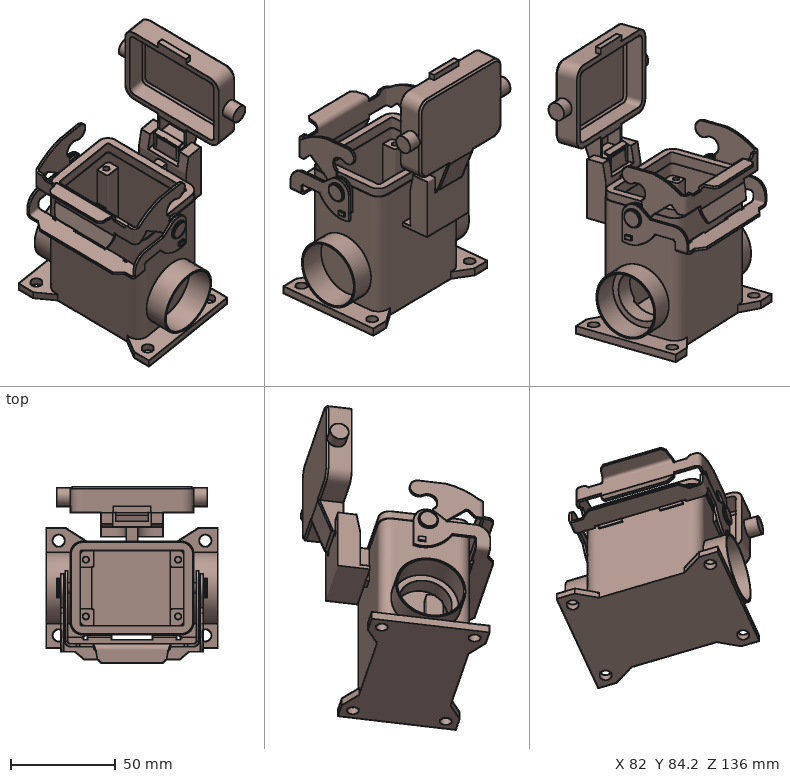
import cadquery as cq
import math


BODY_LENGTH = 58.9
BODY_WIDTH = 44.6
BODY_CORNER = 6.0
BODY_HEIGHT = 73.0
RIM_HEIGHT = 4.4
RIM_INSET = 0.4
CAVITY_LENGTH = 49.6
CAVITY_WIDTH = 36.0
CAVITY_CORNER = 1.0
CAVITY_STEP_Z = 67.3
CAVITY_STEP = 0.1
CAVITY_LOWER_CORNER = 2.0
FLOOR = 4.0
POST_X = 6.6
POST_Y = 8.0
POST_TOP = 61.0
POST_EDGE = 1.0
SCREW_X = 22.0
SCREW_Y = 13.55
SCREW_HOLE = 3.0
SCREW_DEPTH = 12.0

PLATE_LENGTH = 82.0
PLATE_WIDTH = 57.4
PLATE_THICK = 4.0
PLATE_END = 9.3
NOTCH_X = 21.7
MOUNT_X = 35.0
MOUNT_Y = 22.6
MOUNT_HOLE = 5.7

ENTRY_Z = 22.3
ENTRY_RADIUS = 17.0
ENTRY_BORE = 16.2
ENTRY_HOLE = 13.0
ENTRY_SHOULDER = 28.0
ENTRY_LEDGE_TOP = ENTRY_Z + ENTRY_RADIUS
OPEN_LEDGE_X = 19.2
BLIND_LEDGE_X = CAVITY_LENGTH / 2 - POST_X

LID_LENGTH = 58.8
LID_BOTTOM = 89.3
LID_TOP = 133.0
LID_FRONT = 36.0
LID_BACK = 48.4
LID_CORNER = 6.0
LID_BACK_EDGE = 1.0
LID_RIM = 3.0
LID_POCKET_FLOOR = 46.0
LID_POCKET_CORNER = 2.8
LID_POCKET_EDGE = 1.1
TOTAL_HEIGHT = 136.0
TAB_LENGTH = 17.8
TAB_THICK = 3.0
LID_PIN_RADIUS = 4.5
LID_PIN_REACH = 36.0
LID_PIN_Y = 43.4
LID_PIN_Z = 111.25

ARM_BOTTOM = 72.2
ARM_HEEL_Y = 41.8
ARM_WALL = 1.1
ARM_POCKET_BACK = 43.3
ARM_POCKET_TOP = 87.9
ARM_POCKET_FLOOR = 77.9
ARM_EDGE = 0.7
BRACKET_EDGE = 0.5
BRACKET_LENGTH = 29.7
BRACKET_BACK = 40.0
BRACKET_FRONT = 29.0
BRACKET_TOP = 79.0
BRACKET_TOP_FRONT = 30.8
BRACKET_TAPER_Z = 69.0
BRACKET_BOTTOM = 47.8
SLOT_LENGTH = 18.6
SLOT_FLOOR = 70.3
FOOT_FRONT = 24.4
FOOT_THICK = 2.0
WEB_THICK = 5.6
WEB_TOP = 68.5
WEB_FILLET = 8.0
SPRING_TIP = 81.3
SPRING_REAR = 34.8
SPRING_THICK = 0.8
SPRING_FRONT = 31.8

SHEET = 1.3
PIVOT_Z = 66.1
PIVOT_PIN = 2.5
HEAD_RADIUS = 4.75
HEAD_THICK = 1.2
HEAD_EDGE = 0.5
PIVOT_REACH = 36.0

HOOK_HALF = 31.95
HOOK_TOP = 90.8
HOOK_TIP_RADIUS = 4.3
HOOK_TIP_Y = 4.0
CATCH_Y = -0.6
CATCH_Z = 79.0
HOOK_HUB_RADIUS = 6.4
HOOK_TAIL_BOTTOM = 55.5
STRIP_FRONT = -28.0
STRIP_BEND = 2.65
STRIP_TOP = 83.3
STRIP_BOTTOM = 73.4
STRIP_DIP = 81.3
HANDLE_HALF = 18.5
HANDLE_TIP = -35.83
HANDLE_TOP = 84.7
HANDLE_BEND = 2.9
FLAP_TOP = 71.6
FLAP_TIP_Y = -30.9
FLAP_TIP_Z = 64.0
FLAP_TIP_HALF = 16.0

BAIL_HALF = 34.0
BAIL_HUB_RADIUS = 6.8
BAIL_TAIL_BOTTOM = 51.3
BAIL_ARM_TOP = 67.3
BAIL_ARM_BOTTOM = 60.3
BAIL_ELBOW = 7.7
BAIL_FRONT = -30.5
BAIL_REAR = -23.6
BAIL_BOTTOM = 53.8
BAIL_BEND = 2.5
BAIL_LIP = -34.2
DIMPLE_HEIGHT = 1.0
DIMPLE_Y = (1.1, 4.6)
DIMPLE_Z = (53.9, 56.0)
STOP_INNER_X = 9.7
STOP_OUTER_X = 21.3
STOP_BOTTOM = 52.6
RELIEF_OUTER_X = 23.1
RELIEF_Y = -24.6


def box(x_range, y_range, z_range):
    """Box spanning three coordinate ranges."""
    size = [hi - lo for lo, hi in (x_range, y_range, z_range)]
    corner = (x_range[0], y_range[0], z_range[0])
    return cq.Workplane("XY").box(*size, centered=False).translate(corner)


def profile_across(points, half_length):
    """Outline of (y, z) points extruded symmetrically along X."""
    return cq.Workplane("YZ").polyline(points).close().extrude(half_length, both=True)


def cylinder_x(radius, x_start, x_end, y, z):
    """Cylinder along X."""
    return (
        cq.Workplane("YZ", origin=(x_start, y, z))
        .circle(radius)
        .extrude(x_end - x_start)
    )


def on_circle(centre, radius, degrees):
    """Point on a circle, by angle."""
    angle = math.radians(degrees)
    return (centre[0] + radius * math.cos(angle), centre[1] + radius * math.sin(angle))


def both_sides(solid):
    """A solid together with its mirror image across X = 0."""
    return solid.union(solid.mirror("YZ"))


def mounting_plate():
    half_x = PLATE_LENGTH / 2
    half_y = PLATE_WIDTH / 2
    taper_x = half_x - PLATE_END
    body_y = BODY_WIDTH / 2
    plate = (
        cq.Workplane("XY")
        .polyline([
            (half_x, -half_y), (half_x, half_y), (taper_x, half_y), (NOTCH_X, body_y),
            (-NOTCH_X, body_y), (-taper_x, half_y), (-half_x, half_y), (-half_x, -half_y),
            (-taper_x, -half_y), (-NOTCH_X, -body_y), (NOTCH_X, -body_y), (taper_x, -half_y),
        ])
        .close()
        .extrude(PLATE_THICK)
    )
    return (
        plate.faces(">Z").workplane(origin=(0, 0, 0))
        .rect(2 * MOUNT_X, 2 * MOUNT_Y, forConstruction=True)
        .vertices()
        .hole(MOUNT_HOLE)
    )


def screw_posts():
    posts = cq.Workplane("XY")
    for side_x in (-1, 1):
        for side_y in (-1, 1):
            centre_x = side_x * (CAVITY_LENGTH - POST_X) / 2
            centre_y = side_y * (CAVITY_WIDTH - POST_Y) / 2
            inner_edge = ("<X" if side_x > 0 else ">X") + " and " + ("<Y" if side_y > 0 else ">Y")
            post = (
                cq.Workplane("XY", origin=(centre_x, centre_y, FLOOR))
                .rect(POST_X, POST_Y)
                .extrude(POST_TOP - FLOOR)
                .edges("|Z").edges(inner_edge)
                .fillet(POST_EDGE)
            )
            screw_hole = (
                cq.Workplane("XY", origin=(side_x * SCREW_X, side_y * SCREW_Y, POST_TOP))
                .circle(SCREW_HOLE / 2)
                .extrude(-SCREW_DEPTH)
            )
            posts = posts.union(post.cut(screw_hole))
    return posts


def housing():
    body = (
        cq.Workplane("XY")
        .rect(BODY_LENGTH, BODY_WIDTH)
        .extrude(BODY_HEIGHT - RIM_HEIGHT)
        .edges("|Z")
        .fillet(BODY_CORNER)
    )
    rim = (
        cq.Workplane("XY", origin=(0, 0, BODY_HEIGHT - RIM_HEIGHT))
        .rect(BODY_LENGTH - 2 * RIM_INSET, BODY_WIDTH - 2 * RIM_INSET)
        .extrude(RIM_HEIGHT)
        .edges("|Z")
        .fillet(BODY_CORNER - RIM_INSET)
    )
    upper_cavity = (
        cq.Workplane("XY", origin=(0, 0, CAVITY_STEP_Z))
        .rect(CAVITY_LENGTH, CAVITY_WIDTH)
        .extrude(BODY_HEIGHT - CAVITY_STEP_Z)
        .edges("|Z")
        .fillet(CAVITY_CORNER)
    )
    lower_cavity = (
        cq.Workplane("XY", origin=(0, 0, FLOOR))
        .rect(CAVITY_LENGTH - 2 * CAVITY_STEP, CAVITY_WIDTH - 2 * CAVITY_STEP)
        .extrude(CAVITY_STEP_Z - FLOOR)
        .edges("|Z")
        .fillet(CAVITY_LOWER_CORNER)
    )
    cavity = upper_cavity.union(lower_cavity)
    plate_end = PLATE_LENGTH / 2
    wall_x = BODY_LENGTH / 2 - RIM_INSET
    collar = cylinder_x(ENTRY_RADIUS, wall_x, plate_end, 0, ENTRY_Z)
    solid = mounting_plate().union(body).union(rim).union(both_sides(collar)).cut(cavity)

    cavity_x = CAVITY_LENGTH / 2
    ledge_y = (-CAVITY_WIDTH / 2, CAVITY_WIDTH / 2)
    ledge_z = (FLOOR, ENTRY_LEDGE_TOP)
    solid = solid.union(box((-cavity_x, -OPEN_LEDGE_X), ledge_y, ledge_z))
    solid = solid.union(box((BLIND_LEDGE_X, cavity_x), ledge_y, ledge_z))
    solid = solid.union(screw_posts())

    bore = cylinder_x(ENTRY_BORE, ENTRY_SHOULDER, plate_end, 0, ENTRY_Z)
    open_hole = cylinder_x(ENTRY_HOLE, -plate_end, 0, 0, ENTRY_Z)
    return solid.cut(both_sides(bore)).cut(open_hole)


def lid_slab(length, z_range, y_range, corner):
    """Upright plate with rounded corners, lying in the XZ plane."""
    slab = box((-length / 2, length / 2), y_range, z_range)
    return slab.edges("|Y").fillet(corner)


def lid():
    shell = lid_slab(LID_LENGTH, (LID_BOTTOM, LID_TOP), (LID_FRONT, LID_BACK), LID_CORNER)
    shell = shell.faces(">Y").chamfer(LID_BACK_EDGE)
    pocket = lid_slab(
        LID_LENGTH - 2 * LID_RIM,
        (LID_BOTTOM + LID_RIM, LID_TOP - LID_RIM),
        (LID_FRONT, LID_POCKET_FLOOR),
        LID_POCKET_CORNER,
    )
    pocket = pocket.faces(">Y").chamfer(LID_POCKET_EDGE)
    pin = cylinder_x(LID_PIN_RADIUS, LID_LENGTH / 2 - LID_RIM / 2, LID_PIN_REACH, LID_PIN_Y, LID_PIN_Z)
    tab = box(
        (-TAB_LENGTH / 2, TAB_LENGTH / 2),
        (LID_FRONT, LID_FRONT + TAB_THICK),
        (LID_TOP - LID_RIM, TOTAL_HEIGHT),
    )
    return shell.union(tab).cut(pocket).union(both_sides(pin))


def hinge_arm():
    """Tapered arm below the lid, with a recess in its front and a sprung lip."""
    pocket_half = TAB_LENGTH / 2 - ARM_WALL
    arm = profile_across(
        [
            (LID_FRONT, LID_BOTTOM + LID_RIM), (LID_BACK - LID_BACK_EDGE, LID_BOTTOM + LID_RIM),
            (LID_BACK, LID_BOTTOM + LID_BACK_EDGE), (LID_BACK, LID_BOTTOM),
            (ARM_HEEL_Y, ARM_BOTTOM), (LID_FRONT, ARM_BOTTOM),
        ],
        TAB_LENGTH / 2,
    )
    sloped_face = cq.selectors.BoxSelector(
        (-LID_LENGTH, ARM_HEEL_Y - ARM_EDGE, ARM_BOTTOM - ARM_EDGE),
        (LID_LENGTH, LID_BACK + ARM_EDGE, LID_BOTTOM),
    )
    arm = arm.edges(sloped_face).edges("not |X").edges("not |Y").chamfer(ARM_EDGE)
    recess = box(
        (-pocket_half, pocket_half),
        (LID_FRONT, ARM_POCKET_BACK),
        (ARM_POCKET_FLOOR, ARM_POCKET_TOP),
    )
    knuckle = box(
        (-pocket_half, pocket_half),
        (SPRING_FRONT, BRACKET_BACK),
        (SLOT_FLOOR, ARM_POCKET_FLOOR),
    )
    lip_drop = 1.0
    lip = profile_across(
        [
            (SPRING_REAR, SPRING_TIP), (SPRING_FRONT, SPRING_TIP - lip_drop),
            (SPRING_FRONT, ARM_POCKET_FLOOR), (SPRING_FRONT + SPRING_THICK, ARM_POCKET_FLOOR),
            (SPRING_FRONT + SPRING_THICK, SPRING_TIP - lip_drop - SPRING_THICK / 2),
            (SPRING_REAR, SPRING_TIP - SPRING_THICK),
        ],
        pocket_half,
    )
    window_half = 6.2
    window_depth = 0.5
    window_bottom = 72.0
    window_top = 79.3
    window = profile_across(
        [
            (SPRING_FRONT, window_bottom), (SPRING_FRONT, window_top),
            (SPRING_FRONT + window_depth, window_top),
        ],
        window_half,
    )
    return arm.cut(recess).union(knuckle).union(lip).cut(window)


def hinge_bracket():
    half = BRACKET_LENGTH / 2
    foot_top = BRACKET_BOTTOM + FOOT_THICK
    block = profile_across(
        [
            (BRACKET_BACK, BRACKET_BOTTOM), (BRACKET_BACK, BRACKET_TOP),
            (BRACKET_TOP_FRONT, BRACKET_TOP), (BRACKET_FRONT, BRACKET_TAPER_Z),
            (BRACKET_FRONT, foot_top), (FOOT_FRONT, foot_top), (FOOT_FRONT, BRACKET_BOTTOM),
        ],
        half,
    )
    slot = box(
        (-SLOT_LENGTH / 2, SLOT_LENGTH / 2),
        (BRACKET_FRONT, BRACKET_BACK),
        (SLOT_FLOOR, BRACKET_TOP),
    )
    web = box(
        (-WEB_THICK / 2, WEB_THICK / 2),
        (BODY_WIDTH / 2 - RIM_INSET, BRACKET_FRONT),
        (foot_top, WEB_TOP),
    )
    web_x = WEB_THICK / 2
    centre = (web_x + WEB_FILLET, foot_top + WEB_FILLET)
    gusset = (
        cq.Workplane("XZ", origin=(0, BRACKET_FRONT, 0))
        .moveTo(web_x, foot_top)
        .lineTo(web_x + WEB_FILLET, foot_top)
        .threePointArc(on_circle(centre, WEB_FILLET, 225), (web_x, foot_top + WEB_FILLET))
        .close()
        .extrude(BRACKET_FRONT - FOOT_FRONT)
    )
    block = block.faces(">Y").edges("|X").fillet(BRACKET_EDGE)
    return block.cut(slot).union(web).union(both_sides(gusset))


def pivots():
    shaft = cylinder_x(PIVOT_PIN, BODY_LENGTH / 2 - RIM_INSET, PIVOT_REACH, 0, PIVOT_Z)
    head = cylinder_x(HEAD_RADIUS, PIVOT_REACH - HEAD_THICK, PIVOT_REACH, 0, PIVOT_Z)
    head = head.faces(">X").chamfer(HEAD_EDGE)
    return both_sides(shaft.union(head))


def hook_side():
    """Side outline of the hook lever, extruded over its full span."""
    tip_centre = (HOOK_TIP_Y, HOOK_TOP - HOOK_TIP_RADIUS)
    catch = (CATCH_Y, CATCH_Z)
    crest_start = (-25.4, 83.7)
    crest_middle = (-17.9, 88.2)
    crest_end = (-9.2, HOOK_TOP)
    neck_rear = (-3.1, PIVOT_Z)
    neck_front = (-7.0, PIVOT_Z)
    neck_top = (-9.5, 69.1)
    gap_top = 77.0
    gap_rear = -19.1
    gap_front = -20.2
    gap_foot = -23.7
    strip_rear = STRIP_FRONT + SHEET
    hook = (
        cq.Workplane("YZ")
        .moveTo(*crest_end)
        .lineTo(HOOK_TIP_Y, HOOK_TOP)
        .threePointArc(
            on_circle(tip_centre, HOOK_TIP_RADIUS, 0),
            on_circle(tip_centre, HOOK_TIP_RADIUS, 250),
        )
        .lineTo(*on_circle(catch, LID_PIN_RADIUS, 68))
        .threePointArc(
            on_circle(catch, LID_PIN_RADIUS, 150),
            on_circle(catch, LID_PIN_RADIUS, 237),
        )
        .lineTo(*neck_rear)
        .lineTo(*neck_front)
        .lineTo(*neck_top)
        .lineTo(gap_rear, gap_top)
        .lineTo(gap_front, gap_top)
        .lineTo(gap_foot, STRIP_BOTTOM)
        .lineTo(strip_rear, STRIP_BOTTOM)
        .lineTo(strip_rear, FLAP_TOP)
        .lineTo(STRIP_FRONT, FLAP_TOP)
        .lineTo(STRIP_FRONT, STRIP_TOP)
        .lineTo(*crest_start)
        .threePointArc(crest_middle, crest_end)
        .close()
        .extrude(HOOK_HALF, both=True)
    )
    hub = cylinder_x(HOOK_HUB_RADIUS, -HOOK_HALF, HOOK_HALF, 0, PIVOT_Z)
    tail = box(
        (-HOOK_HALF, HOOK_HALF),
        (-HOOK_HUB_RADIUS, HOOK_HUB_RADIUS),
        (HOOK_TAIL_BOTTOM, PIVOT_Z),
    )
    return hook.union(hub).union(tail)


def bent_sheet(plane, half_span, open_end, closed_end, bend):
    """U-shaped sheet section, closed towards the lower end of its second axis."""
    def rounded(half, low, radius):
        return (
            cq.Workplane(plane)
            .moveTo(-half, open_end)
            .lineTo(-half, low + radius)
            .radiusArc((-half + radius, low), -radius)
            .lineTo(half - radius, low)
            .radiusArc((half, low + radius), -radius)
            .lineTo(half, open_end)
            .close()
            .extrude(2 * HOOK_TOP, both=True)
        )
    return rounded(half_span, closed_end, bend).cut(
        rounded(half_span - SHEET, closed_end + SHEET, bend - SHEET)
    )


def hook_lever():
    sheet = bent_sheet("XY", HOOK_HALF, HOOK_HALF, STRIP_FRONT, STRIP_BEND)
    lever = sheet.intersect(hook_side())

    bend_start = HANDLE_TOP - HANDLE_BEND
    dip_start = 26.7
    dip_end = 25.0
    dip = (
        cq.Workplane("XZ", origin=(0, STRIP_FRONT + STRIP_BEND, 0))
        .polyline([
            (-dip_start, STRIP_TOP), (-dip_end, STRIP_DIP),
            (-HANDLE_HALF, STRIP_DIP), (-HANDLE_HALF, bend_start),
            (HANDLE_HALF, bend_start), (HANDLE_HALF, STRIP_DIP),
            (dip_end, STRIP_DIP), (dip_start, STRIP_TOP),
            (dip_start, HOOK_TOP), (-dip_start, HOOK_TOP),
        ])
        .close()
        .extrude(STRIP_BEND)
    )
    strip_edge = box(
        (HANDLE_HALF, HOOK_HALF),
        (STRIP_FRONT, STRIP_FRONT + STRIP_BEND),
        (FLAP_TOP, STRIP_BOTTOM),
    )
    return lever.cut(dip).cut(both_sides(strip_edge)).union(handle()).union(flap())


def handle():
    """Finger plate bent forward from the top of the hook lever's front strip."""
    rear = STRIP_FRONT + SHEET
    bend_start = HANDLE_TOP - HANDLE_BEND
    centre = (rear - HANDLE_BEND, bend_start)
    inner_radius = HANDLE_BEND - SHEET
    section = (
        cq.Workplane("YZ")
        .moveTo(rear, bend_start)
        .threePointArc(on_circle(centre, HANDLE_BEND, 45), (centre[0], HANDLE_TOP))
        .lineTo(HANDLE_TIP, HANDLE_TOP)
        .lineTo(HANDLE_TIP, HANDLE_TOP - SHEET)
        .lineTo(centre[0], HANDLE_TOP - SHEET)
        .threePointArc(on_circle(centre, inner_radius, 45), (STRIP_FRONT, bend_start))
        .close()
        .extrude(HANDLE_HALF, both=True)
    )
    neck_half = 16.6
    neck_y = -34.0
    waist_half = 17.3
    waist_y = -30.0
    tip_half = 14.7
    outline = (
        cq.Workplane("XY")
        .moveTo(-HANDLE_HALF, rear)
        .threePointArc((-waist_half, waist_y), (-neck_half, neck_y))
        .lineTo(-tip_half, HANDLE_TIP)
        .lineTo(tip_half, HANDLE_TIP)
        .lineTo(neck_half, neck_y)
        .threePointArc((waist_half, waist_y), (HANDLE_HALF, rear))
        .close()
        .extrude(HOOK_TOP)
    )
    return section.intersect(outline)


def flap():
    """Plate sloping forward and down from the lower edge of the front strip."""
    rear = STRIP_FRONT + SHEET
    section = profile_across(
        [
            (STRIP_FRONT, FLAP_TOP), (rear, FLAP_TOP),
            (FLAP_TIP_Y + SHEET, FLAP_TIP_Z), (FLAP_TIP_Y, FLAP_TIP_Z),
        ],
        HANDLE_HALF,
    )
    shoulder_half = 18.0
    shoulder_z = 68.4
    outline = (
        cq.Workplane("XZ", origin=(0, rear, 0))
        .polyline([
            (-HANDLE_HALF, FLAP_TOP), (-shoulder_half, shoulder_z), (-FLAP_TIP_HALF, FLAP_TIP_Z),
            (FLAP_TIP_HALF, FLAP_TIP_Z), (shoulder_half, shoulder_z), (HANDLE_HALF, FLAP_TOP),
        ])
        .close()
        .extrude(rear - HANDLE_TIP)
    )
    return section.intersect(outline)


def bail_arm():
    """One flat side arm of the bail lever, on the +X side."""
    hub = (0, PIVOT_Z)
    elbow = (BAIL_FRONT + BAIL_ELBOW, BAIL_ARM_TOP - BAIL_ELBOW)
    elbow_relief = 1.0
    tail_corner = (BAIL_HUB_RADIUS, 51.9)
    tail_low = (1.5, BAIL_TAIL_BOTTOM)
    tail_front = (-3.8, 52.8)
    throat_middle = (-8.8, 56.3)
    throat_top = (-12.0, BAIL_ARM_BOTTOM)
    shoulder = (-9.5, BAIL_ARM_TOP)
    arm_end = BAIL_BOTTOM + BAIL_BEND
    arm = (
        cq.Workplane("YZ", origin=(BAIL_HALF - SHEET, 0, 0))
        .moveTo(*tail_corner)
        .lineTo(BAIL_HUB_RADIUS, PIVOT_Z)
        .threePointArc(on_circle(hub, BAIL_HUB_RADIUS, 65), on_circle(hub, BAIL_HUB_RADIUS, 130))
        .lineTo(*shoulder)
        .lineTo(elbow[0], BAIL_ARM_TOP)
        .threePointArc(on_circle(elbow, BAIL_ELBOW, 135), (BAIL_FRONT, elbow[1]))
        .lineTo(BAIL_FRONT, arm_end)
        .lineTo(BAIL_REAR, arm_end)
        .lineTo(BAIL_REAR, BAIL_ARM_BOTTOM - elbow_relief)
        .lineTo(BAIL_REAR + elbow_relief, BAIL_ARM_BOTTOM)
        .lineTo(*throat_top)
        .threePointArc(throat_middle, tail_front)
        .threePointArc(tail_low, tail_corner)
        .close()
        .extrude(SHEET)
    )
    dimple = box((BAIL_HALF, BAIL_HALF + DIMPLE_HEIGHT), DIMPLE_Y, DIMPLE_Z)
    return arm.union(dimple)


def bail_bar():
    """Front cross bar of the bail lever, bent up into the side arms."""
    sheet = bent_sheet("XZ", BAIL_HALF, PIVOT_Z, BAIL_BOTTOM, BAIL_BEND)
    lip_start = 27.2
    lip_end = 22.8
    outline = (
        cq.Workplane("XY")
        .polyline([
            (-BAIL_HALF, BAIL_REAR), (-BAIL_HALF, BAIL_FRONT), (-lip_start, BAIL_FRONT),
            (-lip_end, BAIL_LIP), (lip_end, BAIL_LIP), (lip_start, BAIL_FRONT),
            (BAIL_HALF, BAIL_FRONT), (BAIL_HALF, BAIL_REAR),
        ])
        .close()
        .extrude(BAIL_BOTTOM + BAIL_BEND)
    )
    relief = box(
        (-RELIEF_OUTER_X, RELIEF_OUTER_X),
        (RELIEF_Y, BAIL_REAR),
        (BAIL_BOTTOM, BAIL_BOTTOM + SHEET),
    )
    stop_tip = -22.5
    stop = profile_across(
        [
            (RELIEF_Y, BAIL_BOTTOM), (RELIEF_Y, BAIL_BOTTOM + SHEET), (BAIL_REAR, BAIL_BOTTOM + SHEET),
            (stop_tip, BAIL_BOTTOM), (stop_tip - SHEET, STOP_BOTTOM),
        ],
        STOP_OUTER_X,
    )
    middle_gap = box((-STOP_INNER_X, STOP_INNER_X), (RELIEF_Y, 0), (0, HOOK_TOP))
    return sheet.intersect(outline).cut(relief).union(stop.cut(middle_gap))


def bail_lever():
    return both_sides(bail_arm()).union(bail_bar())


result = (
    housing()
    .union(hinge_bracket())
    .union(hinge_arm())
    .union(lid())
    .union(pivots())
    .union(hook_lever())
    .union(bail_lever())
)